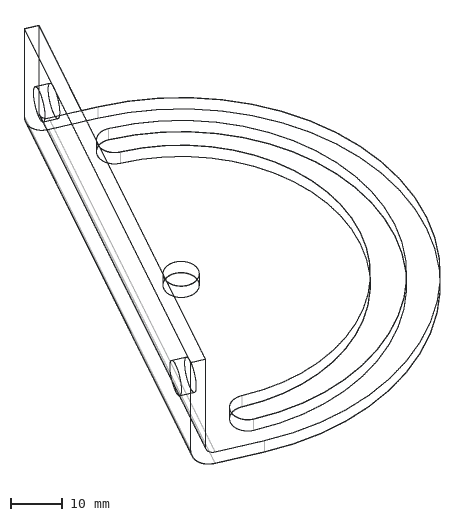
import cadquery as cq

width = 100.0
height = 28.0
thickness = 3.0
inner_bend_radius = 2.0
pivot_from_back = 15.0
hole_diameter = 7.0
slot_radius = 40.0
flange_hole_from_end = 9.0
flange_hole_from_top = 12.0

plate_radius = width / 2
outer_bend_radius = inner_bend_radius + thickness
flange_y = -pivot_from_back
flange_hole_spacing = width - 2 * flange_hole_from_end
flange_hole_z = height - flange_hole_from_top


def half_ring(outer_radius, inner_radius):
    """Half ring on the +Y side, as thick as the plate."""
    return (
        cq.Workplane("XY")
        .moveTo(-outer_radius, 0)
        .threePointArc((0, outer_radius), (outer_radius, 0))
        .lineTo(inner_radius, 0)
        .threePointArc((0, inner_radius), (-inner_radius, 0))
        .close()
        .extrude(thickness)
    )


def bent_flange():
    """L-shaped section with a rounded bend, running the full width."""
    inner_y = flange_y + thickness
    return (
        cq.Workplane("YZ")
        .moveTo(0, 0)
        .lineTo(flange_y + outer_bend_radius, 0)
        .radiusArc((flange_y, outer_bend_radius), outer_bend_radius)
        .lineTo(flange_y, height)
        .lineTo(inner_y, height)
        .lineTo(inner_y, outer_bend_radius)
        .radiusArc((inner_y + inner_bend_radius, thickness), -inner_bend_radius)
        .lineTo(0, thickness)
        .close()
        .extrude(width / 2, both=True)
    )


def rounded_plate():
    """Half disc centred on the pivot axis."""
    return (
        cq.Workplane("XY")
        .moveTo(-plate_radius, 0)
        .threePointArc((0, plate_radius), (plate_radius, 0))
        .close()
        .extrude(thickness)
    )


def curved_slot():
    """Semicircular slot around the pivot, with round ends."""
    ends = (
        cq.Workplane("XY")
        .pushPoints([(-slot_radius, 0), (slot_radius, 0)])
        .circle(hole_diameter / 2)
        .extrude(thickness)
    )
    half_slot = hole_diameter / 2
    return half_ring(slot_radius + half_slot, slot_radius - half_slot).union(ends)


def pivot_hole():
    return cq.Workplane("XY").circle(hole_diameter / 2).extrude(thickness)


def flange_holes():
    return (
        cq.Workplane("XZ", origin=(0, flange_y + thickness, flange_hole_z))
        .rarray(flange_hole_spacing, 1, 2, 1)
        .circle(hole_diameter / 2)
        .extrude(thickness)
    )


bracket = bent_flange().union(rounded_plate())
result = bracket.cut(curved_slot()).cut(pivot_hole()).cut(flange_holes())